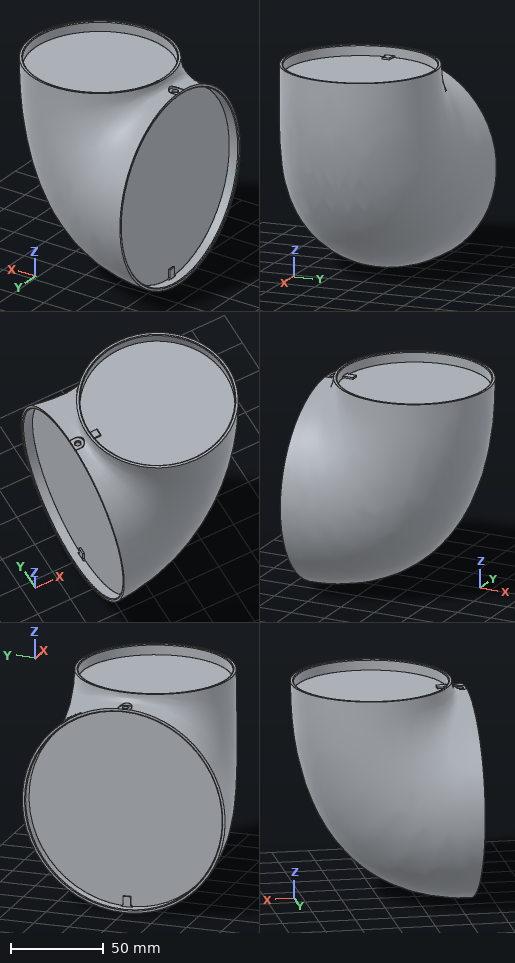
import cadquery as cq
import math

height = 122.0
wide_radius = 57.8
narrow_radius = 43.5
length = 95.5
narrow_center_x = length - narrow_radius
throat_x = length - 2 * narrow_radius
throat_z = 2 * wide_radius

outer_fullness = 0.63
throat_fullness = 0.8
wide_side_control = 53.9
narrow_side_control = 44.5
section_count = 9

recess_depth = 6.0
wall = 1.8
lip_chamfer = 0.5
key_reach = 7.7
key_width = 4.3
key_height = 1.0
key_flare = 1.1

seat_x = 3.2
seat_radius = 3.5
seat_depth = 0.2
screw_radius = 1.7
screw_depth = 2 * wall
seat_clearance = 3.7


def bezier(t, p0, p1, p2, p3):
    """Value of a cubic Bezier curve at t."""
    s = 1 - t
    return s**3 * p0 + 3 * s**2 * t * p1 + 3 * s * t**2 * p2 + t**3 * p3


def bend_point(t, start_z, end_x, fullness):
    """Point on a bend that leaves along +X and arrives along +Z."""
    x = bezier(t, 0, fullness * end_x, end_x, end_x)
    handle_z = height - fullness * (height - start_z)
    z = bezier(t, start_z, start_z, handle_z, height)
    return x, z


def section(t):
    """Elliptical section spanning the throat curve and the outer curve."""
    throat_point_x, throat_point_z = bend_point(t, throat_z, throat_x, throat_fullness)
    outer_point_x, outer_point_z = bend_point(t, 0, length, outer_fullness)
    span_x = outer_point_x - throat_point_x
    span_z = outer_point_z - throat_point_z
    half_span = math.hypot(span_x, span_z) / 2
    half_width = bezier(t, wide_radius, wide_side_control, narrow_side_control, narrow_radius)
    center = cq.Vector(
        (throat_point_x + outer_point_x) / 2, 0, (throat_point_z + outer_point_z) / 2
    )
    axis = cq.Vector(span_x, 0, span_z)
    normal = cq.Vector(-span_z, 0, span_x)
    ellipse = cq.Edge.makeEllipse(half_span, half_width, center, normal, axis)
    return cq.Wire.assembleEdges([ellipse])


def recess(mouth, radius):
    """Cutter for a flat-bottomed recess with a chamfered lip."""
    bore_radius = radius - wall
    bore = cq.Workplane(mouth).circle(bore_radius).extrude(-recess_depth)
    lip = cq.Solid.makeCone(
        bore_radius + lip_chamfer,
        bore_radius,
        lip_chamfer,
        mouth.origin,
        mouth.zDir * -1,
    )
    return bore.union(cq.Workplane(obj=lip))


def key(mouth, radius):
    """Low key on the recess floor, flared where it meets the wall."""
    outer_end = radius - wall / 2
    flare_start = radius - wall - key_flare
    inner_end = radius - key_reach
    half_width = key_width / 2
    flare_half_width = half_width + outer_end - flare_start
    outline = [
        (outer_end, -flare_half_width),
        (flare_start, -half_width),
        (inner_end, -half_width),
        (inner_end, half_width),
        (flare_start, half_width),
        (outer_end, flare_half_width),
    ]
    floor = cq.Workplane(mouth).workplane(offset=-recess_depth)
    return floor.polyline(outline).close().extrude(key_height)


def screw_seat():
    """Cutter for the flat round-ended seat and its screw hole through the wide mouth wall."""
    flat = cq.Workplane("XY", origin=(seat_x, 0, throat_z - seat_depth))
    seat = flat.circle(seat_radius).extrude(seat_clearance)
    run_out = flat.center(-seat_x, 0).rect(2 * seat_x, 2 * seat_radius).extrude(seat_clearance)
    hole = flat.circle(screw_radius).extrude(-screw_depth)
    return seat.union(run_out).union(hole)


wide_mouth = cq.Plane(origin=(0, 0, wide_radius), xDir=(0, 0, -1), normal=(-1, 0, 0))
narrow_mouth = cq.Plane(origin=(narrow_center_x, 0, height), xDir=(-1, 0, 0), normal=(0, 0, 1))

sections = [section(i / (section_count - 1)) for i in range(section_count)]
body = cq.Workplane(obj=cq.Solid.makeLoft(sections))
for mouth, radius in ((wide_mouth, wide_radius), (narrow_mouth, narrow_radius)):
    body = body.cut(recess(mouth, radius)).union(key(mouth, radius))

result = body.cut(screw_seat())